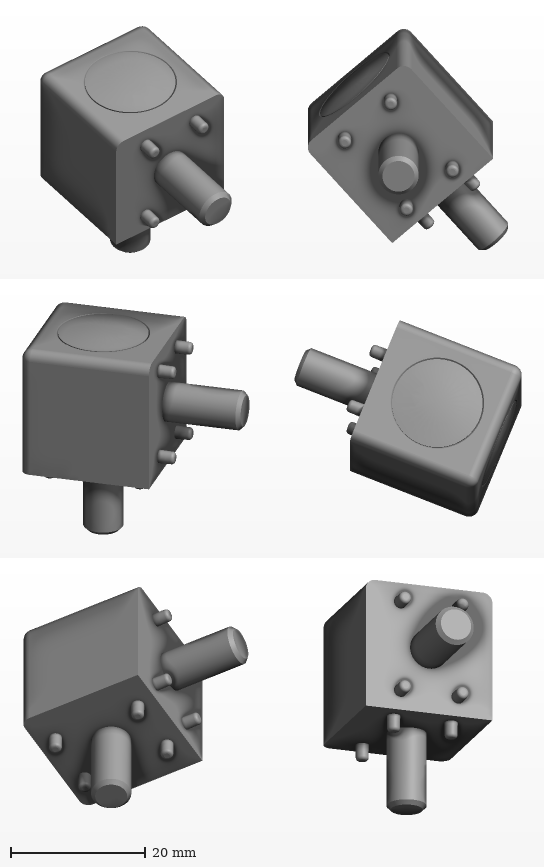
import cadquery as cq

overall_length = 32.5

cube_side = 20.0
half_side = cube_side / 2
edge_radius = 1.5

cap_radius = 13.5 / 2
cap_depth = 2.0
dome_rise = 0.5
seat_chamfer = 0.23

stud_radius = 6.0 / 2
stud_length = overall_length - cube_side - dome_rise
stud_chamfer = 0.62

pin_base_radius = 2.0 / 2
pin_shoulder_radius = 1.92 / 2
pin_length = 2.5
pin_tip_rounding = 0.5
pin_spacing_along = 13.97
pin_spacing_across = 9.1

cap_planes = [
    cq.Plane(origin=(0, 0, half_side), xDir=(1, 0, 0), normal=(0, 0, 1)),
    cq.Plane(origin=(-half_side, 0, 0), xDir=(0, 0, 1), normal=(-1, 0, 0)),
]
stud_planes = [
    cq.Plane(origin=(half_side, 0, 0), xDir=(0, 0, -1), normal=(1, 0, 0)),
    cq.Plane(origin=(0, 0, -half_side), xDir=(-1, 0, 0), normal=(0, 0, -1)),
]


def revolve_about_normal(profile):
    """Turn a closed (radius, height) profile about the local Y axis, then set that axis upright."""
    turned = profile.close().revolve(360, (0, 0, 0), (0, 1, 0))
    return turned.rotate((0, 0, 0), (1, 0, 0), 90).val()


def place(shape, plane, x=0, y=0):
    """Stand an upright shape on a plane, at local point (x, y)."""
    return shape.translate(cq.Vector(x, y, 0)).moved(cq.Location(plane))


def make_cube():
    """Cube with the edges of the cap faces rounded, except where they meet a stud face."""
    cube = cq.Workplane("XY").box(cube_side, cube_side, cube_side)
    cap_face_edges = cube.faces("<X or >Z").edges()
    return cap_face_edges.edges("not (>X or <Z)").fillet(edge_radius)


def make_cap_seat():
    """Cutter for a blind round recess with a chamfered mouth."""
    profile = (
        cq.Workplane("XY")
        .moveTo(0, -cap_depth)
        .lineTo(cap_radius, -cap_depth)
        .lineTo(cap_radius, -seat_chamfer)
        .lineTo(cap_radius + seat_chamfer, 0)
        .lineTo(0, 0)
    )
    return revolve_about_normal(profile)


def make_pin():
    """Slightly tapered pin with a rounded tip."""
    profile = (
        cq.Workplane("XY")
        .lineTo(pin_base_radius, 0)
        .lineTo(pin_shoulder_radius, pin_length - pin_tip_rounding)
        .radiusArc((pin_shoulder_radius - pin_tip_rounding, pin_length), -pin_tip_rounding)
        .lineTo(0, pin_length)
    )
    return revolve_about_normal(profile)


def make_housing():
    """Rounded cube with two cap seats and four pins on each stud face."""
    housing = make_cube()
    for plane in cap_planes:
        housing = housing.cut(cq.Workplane(place(make_cap_seat(), plane)))
    for plane in stud_planes:
        for x in (-pin_spacing_along / 2, pin_spacing_along / 2):
            for y in (-pin_spacing_across / 2, pin_spacing_across / 2):
                housing = housing.union(cq.Workplane(place(make_pin(), plane, x, y)))
    return housing.solids().val()


def make_cap():
    """Round plug whose outer end is a shallow dome rising above the housing face."""
    dome_radius = (cap_radius**2 + dome_rise**2) / (2 * dome_rise)
    profile = (
        cq.Workplane("XY")
        .moveTo(0, -cap_depth)
        .lineTo(cap_radius, -cap_depth)
        .lineTo(cap_radius, 0)
        .radiusArc((0, dome_rise), -dome_radius)
    )
    return revolve_about_normal(profile)


def make_stud():
    """Plain round stud with a chamfered free end."""
    stud = cq.Workplane("XY").circle(stud_radius).extrude(stud_length)
    return stud.faces(">Z").chamfer(stud_chamfer).solids().val()


housing = make_housing()
caps = [place(make_cap(), plane) for plane in cap_planes]
studs = [place(make_stud(), plane) for plane in stud_planes]

result = cq.Compound.makeCompound([housing, *caps, *studs])